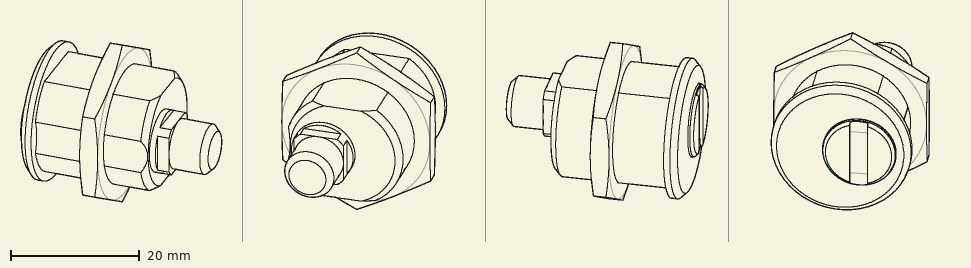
import cadquery as cq
import math


flange_radius = 11.0
flange_thickness = 2.0
flange_chamfer = 1.0

barrel_radius = 9.5
barrel_length = 18.5
barrel_chamfer = 1.0
barrel_flat_width = 15.9
groove_half_width = 2.76
groove_floor = 8.55

nut_start = 8.45
nut_thickness = 3.0
nut_width = 24.0
nut_bore_radius = barrel_radius
nut_chamfer_angle = math.radians(15)

spindle_offset_y = -3.0
plug_radius = 5.7
plug_height = 0.8
plug_chamfer = 0.5
plug_clearance = 0.08
plug_clearance_depth = 0.2
collar_radius = 5.0
collar_thickness = 1.0
square_width = 8.0
square_corner_radius = 5.0
square_length = 1.9
spindle_radius = 4.0
spindle_length = 6.1
spindle_chamfer = 1.0

slot_width = 2.8
slot_depth = 0.52
slot_end_depth = 0.37
slot_floor_half_length = 3.63


def cylinder(radius, x_start, length, center_y=0.0):
    """Cylinder along +X."""
    plane = cq.Workplane("YZ", origin=(x_start, center_y, 0))
    return plane.circle(radius).extrude(length)


def make_flange():
    disc = cylinder(flange_radius, -flange_thickness, flange_thickness)
    return disc.faces("<X").chamfer(flange_chamfer)


def make_barrel():
    """Round barrel with a flat above and below and a hollow groove along -Y."""
    barrel = cylinder(barrel_radius, 0, barrel_length).faces(">X").chamfer(barrel_chamfer)
    flats = cq.Workplane("XY").box(
        barrel_length, 2 * barrel_radius, barrel_flat_width, centered=(False, True, True)
    )
    groove_edge = math.sqrt(barrel_radius**2 - groove_half_width**2)
    groove_rise = groove_edge - groove_floor
    groove_radius = (groove_half_width**2 + groove_rise**2) / (2 * groove_rise)
    groove = cylinder(groove_radius, 0, barrel_length, -(groove_floor + groove_radius))
    return barrel.intersect(flats).cut(groove)


def make_nut():
    """Hexagonal nut with corners up and down, its corners bevelled on both faces."""
    apothem = nut_width / 2
    corner_radius = apothem / math.cos(math.radians(30))
    bevel = (corner_radius - apothem) * math.tan(nut_chamfer_angle)
    nut_end = nut_start + nut_thickness
    hexagon = (
        cq.Workplane("YZ", origin=(nut_start, 0, 0))
        .transformed(rotate=(0, 0, 90))
        .polygon(6, 2 * corner_radius)
        .extrude(nut_thickness)
    )
    bevelled_ring = (
        cq.Workplane("XY")
        .moveTo(nut_start, nut_bore_radius)
        .lineTo(nut_start, apothem)
        .lineTo(nut_start + bevel, corner_radius)
        .lineTo(nut_end - bevel, corner_radius)
        .lineTo(nut_end, apothem)
        .lineTo(nut_end, nut_bore_radius)
        .close()
        .revolve(360, (0, 0, 0), (1, 0, 0))
    )
    return hexagon.intersect(bevelled_ring)


def make_plug():
    plug_face = -flange_thickness - plug_height
    plug_length = plug_height + plug_clearance_depth
    plug = cylinder(plug_radius, plug_face, plug_length, spindle_offset_y)
    return plug.faces("<X").chamfer(plug_chamfer)


def make_plug_recess():
    return cylinder(
        plug_radius + plug_clearance, -flange_thickness, plug_clearance_depth, spindle_offset_y
    )


def make_slot():
    """Slot along Z whose floor rises from the middle stretch to both ends."""
    plug_face = -flange_thickness - plug_height
    floor_x = plug_face + slot_depth
    end_x = plug_face + slot_end_depth
    side = spindle_offset_y + slot_width / 2
    return (
        cq.Workplane("XZ", origin=(0, side, 0))
        .moveTo(plug_face, -plug_radius)
        .lineTo(end_x, -plug_radius)
        .lineTo(floor_x, -slot_floor_half_length)
        .lineTo(floor_x, slot_floor_half_length)
        .lineTo(end_x, plug_radius)
        .lineTo(plug_face, plug_radius)
        .close()
        .extrude(slot_width)
    )


def make_rear_spindle():
    """Collar, square with rounded corners and chamfered spindle behind the barrel."""
    square_start = barrel_length + collar_thickness
    spindle_start = square_start + square_length
    collar = cylinder(collar_radius, barrel_length, collar_thickness, spindle_offset_y)
    square = (
        cq.Workplane("YZ", origin=(square_start, spindle_offset_y, 0))
        .rect(square_width, square_width)
        .extrude(square_length)
        .intersect(cylinder(square_corner_radius, square_start, square_length, spindle_offset_y))
    )
    spindle = cylinder(spindle_radius, spindle_start, spindle_length, spindle_offset_y)
    spindle = spindle.faces(">X").chamfer(spindle_chamfer)
    return collar.union(square).union(spindle)


housing = make_flange().cut(make_plug_recess()).union(make_barrel()).union(make_nut())
plug = make_plug().cut(make_slot())
result = housing.union(plug).union(make_rear_spindle())